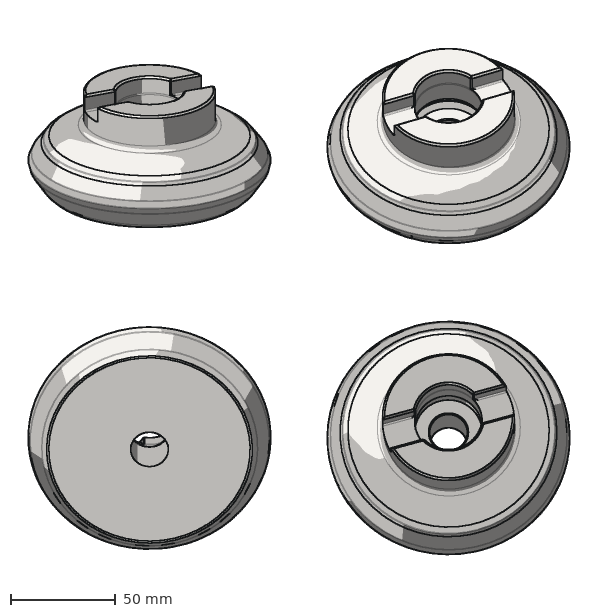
import cadquery as cq
import math

total_height = 50.0
neck_radius = 63.0 / 2
neck_fillet = 2.7
top_chamfer = 1.0
dome_top_z = 32.2
dome_radius = 29.0
core_corner_radius = 51.8
core_corner_z = 22.7

ring_top_radius = 48.0
ring_top_z = 26.4
upper_bevel_radius = 50.7
upper_bevel_z = 24.5
upper_cone_radius = 56.5
upper_cone_z = 17.0
rim_radius = 57.9
rim_z = 13.8
lower_cone_radius = 57.1
lower_cone_z = 10.5
lower_bevel_radius = 51.5
lower_bevel_z = 2.3
ring_base_radius = 49.1
rim_rounding = 0.6
corner_rounding = 1.5

mouth_radius = 32.2 / 2
mouth_bottom_z = 41.7
bore_radius = 32.1 / 2
bore_top_z = 40.9
bore_bottom_z = 30.5
groove_depth = 2.1
groove_land = 0.5
upper_flank_angle = 30
lower_flank_angle = 35
bolt_hole_radius = 18.0 / 2
bolt_hole_chamfer = 0.6

slot_width = 14.5
slot_floor_z = 41.8
slot_fillet = 0.8
slot_corner_chamfer = 0.52

level_margin = 0.01


def revolve_about_z(profile):
    """Turn a closed profile drawn in (radius, z) about the Z axis."""
    return profile.close().revolve(360, (0, 0, 0), (0, 1, 0))


def level_zone(z):
    """Select the edges whose centres lie at height z."""
    return cq.selectors.BoxSelector(
        (-rim_radius, -rim_radius, z - level_margin),
        (rim_radius, rim_radius, z + level_margin),
    )


def hub_blank():
    """Solid hub: tapered core, domed shoulder and filleted neck."""
    dome_start_radius = neck_radius + neck_fillet
    dome_width = ring_top_radius - dome_start_radius
    dome_drop = dome_top_z - ring_top_z
    dome_chord = math.hypot(dome_width, dome_drop)
    dome_bulge = dome_radius - math.sqrt(dome_radius**2 - (dome_chord / 2) ** 2)
    dome_middle = (
        dome_start_radius + dome_width / 2 + dome_bulge * dome_drop / dome_chord,
        dome_top_z - dome_drop / 2 + dome_bulge * dome_width / dome_chord,
    )
    fillet_offset = neck_fillet * (1 - math.sqrt(0.5))
    fillet_middle = (neck_radius + fillet_offset, dome_top_z + fillet_offset)
    profile = (
        cq.Workplane("XZ")
        .moveTo(0, 0)
        .lineTo(ring_top_radius, 0)
        .lineTo(core_corner_radius, core_corner_z)
        .lineTo(ring_top_radius, ring_top_z)
        .threePointArc(dome_middle, (dome_start_radius, dome_top_z))
        .threePointArc(fillet_middle, (neck_radius, dome_top_z + neck_fillet))
        .lineTo(neck_radius, total_height)
        .lineTo(0, total_height)
    )
    return revolve_about_z(profile)


def bore_cutter():
    """Everything removed along the axis, from the bolt hole up to the mouth."""
    groove_radius = bore_radius + groove_depth
    upper_flank_z = bore_bottom_z - groove_depth / math.tan(math.radians(upper_flank_angle))
    lower_flank_z = upper_flank_z - groove_land
    floor_z = lower_flank_z - groove_depth / math.tan(math.radians(lower_flank_angle))
    profile = (
        cq.Workplane("XZ")
        .moveTo(0, 0)
        .lineTo(bolt_hole_radius, 0)
        .lineTo(bolt_hole_radius, floor_z - bolt_hole_chamfer)
        .lineTo(bolt_hole_radius + bolt_hole_chamfer, floor_z)
        .lineTo(bore_radius, floor_z)
        .lineTo(groove_radius, lower_flank_z)
        .lineTo(groove_radius, upper_flank_z)
        .lineTo(bore_radius, bore_bottom_z)
        .lineTo(bore_radius, bore_top_z)
        .lineTo(mouth_radius, mouth_bottom_z)
        .lineTo(mouth_radius, total_height)
        .lineTo(0, total_height)
    )
    return revolve_about_z(profile)


def slot_cutter():
    """Square-cornered slot running the full width of the neck."""
    slot_height = total_height - slot_floor_z
    return cq.Workplane("XY", origin=(0, 0, slot_floor_z)).box(
        slot_width, 2 * neck_radius, slot_height, centered=(True, True, False)
    )


def make_hub():
    """Bored and slotted hub with its slot corners eased and top edges chamfered."""
    hub = hub_blank().cut(bore_cutter()).cut(slot_cutter())
    mouth_zone = cq.selectors.BoxSelector(
        (-mouth_radius, -mouth_radius, slot_floor_z),
        (mouth_radius, mouth_radius, total_height),
    )
    hub = hub.edges("|Z").edges(mouth_zone).chamfer(slot_corner_chamfer)
    hub = hub.faces(">Z").edges().chamfer(top_chamfer)
    return hub.edges("|Y").edges(level_zone(slot_floor_z)).fillet(slot_fillet)


def make_cutting_ring():
    """Double-cone ring with softened corners that encloses the hub core."""
    upper_lean = math.atan((rim_radius - upper_cone_radius) / (upper_cone_z - rim_z))
    lower_lean = math.atan((rim_radius - lower_cone_radius) / (rim_z - lower_cone_z))
    lean_mean = (upper_lean + lower_lean) / 2
    lean_skew = (upper_lean - lower_lean) / 2
    rim_corner_radius = rim_radius + rim_rounding * (math.cos(lean_skew) / math.cos(lean_mean) - 1)
    profile = (
        cq.Workplane("XZ")
        .moveTo(ring_top_radius, 0)
        .lineTo(ring_base_radius, 0)
        .lineTo(lower_bevel_radius, lower_bevel_z)
        .lineTo(lower_cone_radius, lower_cone_z)
        .lineTo(rim_corner_radius, rim_z)
        .lineTo(upper_cone_radius, upper_cone_z)
        .lineTo(upper_bevel_radius, upper_bevel_z)
        .lineTo(ring_top_radius, ring_top_z)
        .lineTo(core_corner_radius, core_corner_z)
    )
    ring = revolve_about_z(profile).edges(level_zone(rim_z)).fillet(rim_rounding)
    for corner_z in (lower_bevel_z, lower_cone_z, upper_cone_z, upper_bevel_z):
        ring = ring.edges(level_zone(corner_z)).fillet(corner_rounding)
    return ring


hub = make_hub()
cutting_ring = make_cutting_ring()
result = cq.Compound.makeCompound([hub.solids().val(), cutting_ring.solids().val()])